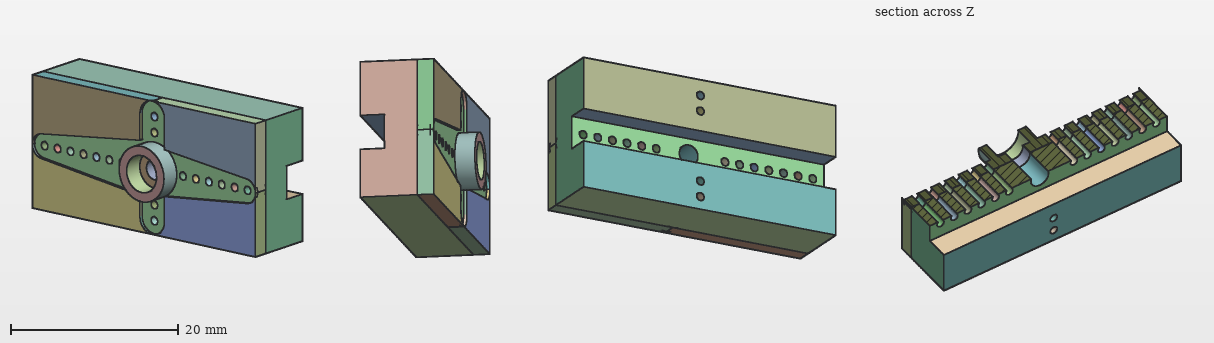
import cadquery as cq
import math


LEFT_REACH = 18.42
RIGHT_REACH = 15.88
UP_REACH = 8.65
DOWN_REACH = 7.95

BLOCK_DEPTH = 7.0
PLATE_THICKNESS = 2.0
HUB_PROJECTION = 2.02
HORN_RECESS = 0.4
HUB_BORE_DEPTH = 2.5
HORN_THICKNESS = PLATE_THICKNESS - HORN_RECESS
HUB_LENGTH = PLATE_THICKNESS + HUB_PROJECTION

SLOT_HEIGHT = 4.15
SLOT_DEPTH = 3.0

SHORT_ARM_WIDTH = 3.77
TIP_RADIUS = 1.55
LEFT_ROOT_HALF_HEIGHT = 3.43
RIGHT_ROOT_HALF_HEIGHT = 2.9

HUB_DIAMETER = 6.9
HUB_BORE_DIAMETER = 4.6
SCREW_HOLE_DIAMETER = 2.55
ARM_HOLE_DIAMETER = 1.0
ARM_HOLE_PITCH = 2.0

ARM_HOLE_ROWS = [
    ((-1, 0), 4.95, 7),
    ((1, 0), 4.4, 6),
    ((0, 1), 4.63, 2),
    ((0, -1), 4.35, 2),
]


def slab(x_min, x_max, z_min, z_max, y_min, y_max):
    """Rectangular block between the given limits."""
    size = (x_max - x_min, y_max - y_min, z_max - z_min)
    return cq.Workplane("XY").box(*size, centered=False).translate((x_min, y_min, z_min))


def rod(diameter, y_min, y_max, x=0, z=0):
    """Cylinder along Y."""
    sketch = cq.Workplane("XZ", origin=(x, y_max, z)).circle(diameter / 2)
    return sketch.extrude(y_max - y_min)


def long_arm(side, reach, root_half_height, thickness):
    """Tapered arm along X whose straight edges run tangent into a round tip."""
    root_x = SHORT_ARM_WIDTH / 2
    tip_center = reach - TIP_RADIUS
    run = tip_center - root_x
    tangent_angle = (math.atan2(root_half_height, -run)
                     - math.acos(TIP_RADIUS / math.hypot(run, root_half_height)))
    tangent_x = tip_center + TIP_RADIUS * math.cos(tangent_angle)
    tangent_z = TIP_RADIUS * math.sin(tangent_angle)
    return (
        cq.Workplane("XZ")
        .moveTo(0, -root_half_height)
        .lineTo(side * root_x, -root_half_height)
        .lineTo(side * tangent_x, -tangent_z)
        .threePointArc((side * reach, 0), (side * tangent_x, tangent_z))
        .lineTo(side * root_x, root_half_height)
        .lineTo(0, root_half_height)
        .close()
        .extrude(thickness)
    )


def short_arms(thickness):
    """Pair of round-ended arms along Z."""
    length = UP_REACH + DOWN_REACH
    middle_z = (UP_REACH - DOWN_REACH) / 2
    return (
        cq.Workplane("XZ", origin=(0, 0, middle_z))
        .slot2D(length, SHORT_ARM_WIDTH, 90)
        .extrude(thickness)
    )


def horn_blank(thickness):
    """Four-armed horn outline without holes, rising from Y = 0 toward -Y."""
    left_arm = long_arm(-1, LEFT_REACH, LEFT_ROOT_HALF_HEIGHT, thickness)
    right_arm = long_arm(1, RIGHT_REACH, RIGHT_ROOT_HALF_HEIGHT, thickness)
    hub_disc = rod(HUB_DIAMETER, -thickness, 0)
    return left_arm.union(right_arm).union(short_arms(thickness)).union(hub_disc)


def drill_through(body):
    """Cut the central screw hole and every arm hole right through a body."""
    y_min, y_max = -HUB_LENGTH, BLOCK_DEPTH
    body = body.cut(rod(SCREW_HOLE_DIAMETER, y_min, y_max))
    for (x_step, z_step), first_distance, count in ARM_HOLE_ROWS:
        for index in range(count):
            distance = first_distance + index * ARM_HOLE_PITCH
            hole = rod(ARM_HOLE_DIAMETER, y_min, y_max, x_step * distance, z_step * distance)
            body = body.cut(hole)
    return body


def make_block():
    """Back block with the slot along X and the through holes."""
    block = slab(-LEFT_REACH, RIGHT_REACH, -DOWN_REACH, UP_REACH, 0, BLOCK_DEPTH)
    slot = slab(-LEFT_REACH, RIGHT_REACH, -SLOT_HEIGHT / 2, SLOT_HEIGHT / 2,
                BLOCK_DEPTH - SLOT_DEPTH, BLOCK_DEPTH)
    return drill_through(block.cut(slot))


def make_horn():
    """Servo horn with its raised, bored hub."""
    horn = horn_blank(HORN_THICKNESS).union(rod(HUB_DIAMETER, -HUB_LENGTH, 0))
    bore = rod(HUB_BORE_DIAMETER, -HUB_LENGTH, HUB_BORE_DEPTH - HUB_LENGTH)
    return drill_through(horn.cut(bore))


def make_corner_plate(x_end, z_end):
    """Plate filling one corner between two neighbouring arms of the horn."""
    plate = slab(min(0, x_end), max(0, x_end), min(0, z_end), max(0, z_end), -PLATE_THICKNESS, 0)
    return plate.cut(horn_blank(PLATE_THICKNESS))


block = make_block()
horn = make_horn()
corner_plates = [
    make_corner_plate(x_end, z_end)
    for x_end in (-LEFT_REACH, RIGHT_REACH)
    for z_end in (-DOWN_REACH, UP_REACH)
]

result = cq.Compound.makeCompound(
    [body.solids().val() for body in (block, horn, *corner_plates)]
)